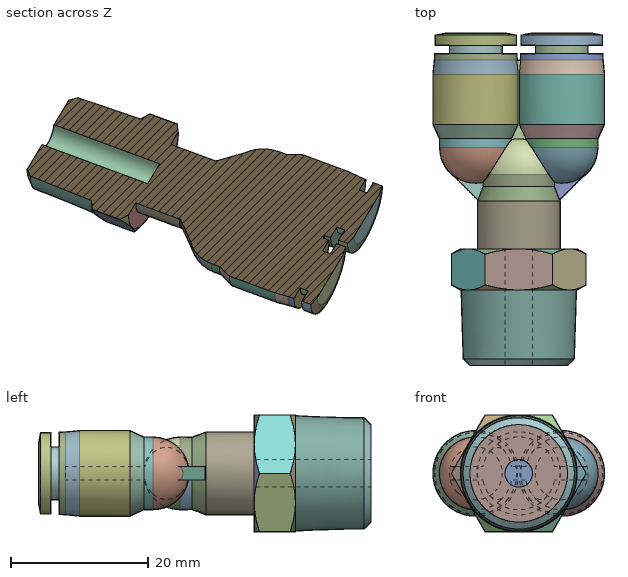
import cadquery as cq
import math


thread_length = 11.0
thread_chamfer = 1.0
thread_tip_radius = 8.1
thread_taper = 1 / 32
thread_base_radius = thread_tip_radius + thread_taper * (thread_length - thread_chamfer)
bore_diameter = 4.0

hex_flats = 17.0
hex_height = 6.0
hex_top = thread_length + hex_height
hex_corner_radius = hex_flats / math.sqrt(3)
hex_chamfer_angle = 30.0
hex_chamfer_height = (hex_corner_radius - hex_flats / 2) * math.tan(math.radians(hex_chamfer_angle))
bore_depth = hex_top

stem_radius = 6.05
stem_top = 24.0
waist_radius = 5.3
waist_diagonal = waist_radius * math.sqrt(0.5)
waist_cone_height = 2.05
stem_waist_start = stem_top + waist_cone_height
stem_dome_centre = 27.8

branch_radius = 6.25
branch_offset = branch_radius
branch_dome_centre = 31.75
branch_waist_end = 33.05
branch_cone_end = branch_waist_end + waist_cone_height
branch_taper_start = 42.4
branch_body_end = 44.45
branch_body_end_radius = 6.05
cap_end = 45.4
cap_radius = 6.0

sleeve_neck_radius = 3.85
flange_start = 46.6
flange_radius = 5.95
flange_rim_end = 48.1
sleeve_end = 48.4
sleeve_face_radius = 4.4

web_thickness = 2.0


def revolve_about_y(profile):
    """Turn a closed half profile in the XY plane about the Y axis."""
    return profile.close().revolve(360, (0, 0, 0), (0, 1, 0))


def make_thread():
    thread = (
        cq.Workplane("XY")
        .lineTo(thread_tip_radius - thread_chamfer, 0)
        .lineTo(thread_tip_radius, thread_chamfer)
        .lineTo(thread_base_radius, thread_length)
        .lineTo(0, thread_length)
    )
    return revolve_about_y(thread)


def make_hexagon():
    """Hexagon with flats facing +-Z, its corners trimmed by a cone at each end."""
    prism = (
        cq.Workplane("XZ", origin=(0, thread_length, 0))
        .polygon(6, 2 * hex_corner_radius)
        .extrude(-hex_height)
    )
    trim = (
        cq.Workplane("XY")
        .moveTo(0, thread_length)
        .lineTo(hex_flats / 2, thread_length)
        .lineTo(hex_corner_radius, thread_length + hex_chamfer_height)
        .lineTo(hex_corner_radius, hex_top - hex_chamfer_height)
        .lineTo(hex_flats / 2, hex_top)
        .lineTo(0, hex_top)
    )
    return prism.intersect(revolve_about_y(trim))


def make_stem():
    """Cylinder narrowing to a waist and closed by a hemisphere."""
    stem = (
        cq.Workplane("XY")
        .moveTo(0, thread_length)
        .lineTo(stem_radius, thread_length)
        .lineTo(stem_radius, stem_top)
        .lineTo(waist_radius, stem_waist_start)
        .lineTo(waist_radius, stem_dome_centre)
        .threePointArc(
            (waist_diagonal, stem_dome_centre + waist_diagonal),
            (0, stem_dome_centre + waist_radius),
        )
    )
    return revolve_about_y(stem)


def make_branch(side):
    """Branch with a domed root, an end cap and a flanged release sleeve."""
    branch = (
        cq.Workplane("XY")
        .moveTo(0, branch_dome_centre - waist_radius)
        .threePointArc(
            (waist_diagonal, branch_dome_centre - waist_diagonal),
            (waist_radius, branch_dome_centre),
        )
        .lineTo(waist_radius, branch_waist_end)
        .lineTo(branch_radius, branch_cone_end)
        .lineTo(branch_radius, branch_taper_start)
        .lineTo(branch_body_end_radius, branch_body_end)
        .lineTo(cap_radius, cap_end)
        .lineTo(sleeve_neck_radius, cap_end)
        .lineTo(sleeve_neck_radius, flange_start)
        .lineTo(flange_radius, flange_start)
        .lineTo(flange_radius, flange_rim_end)
        .lineTo(sleeve_face_radius, sleeve_end)
        .lineTo(0, sleeve_end)
    )
    return revolve_about_y(branch).translate((side * branch_offset, 0, 0))


def make_web():
    """Plate whose 45 degree flanks are tangent to the branch domes at the plate faces."""
    dome_section_radius = math.sqrt(waist_radius**2 - (web_thickness / 2) ** 2)
    tangent_step = dome_section_radius * math.sqrt(0.5)
    tangent_x = branch_offset + tangent_step
    tangent_y = branch_dome_centre - tangent_step
    flank_foot_y = tangent_y - (tangent_x - stem_radius)
    half_web = (
        cq.Workplane("XY", origin=(0, 0, -web_thickness / 2))
        .moveTo(0, flank_foot_y)
        .lineTo(stem_radius, flank_foot_y)
        .lineTo(tangent_x, tangent_y)
        .lineTo(branch_offset, branch_dome_centre)
        .lineTo(branch_offset, branch_body_end)
        .lineTo(0, branch_body_end)
        .close()
        .extrude(web_thickness)
    )
    return half_web.union(half_web.mirror("YZ"))


def make_bore():
    return cq.Workplane("XZ").circle(bore_diameter / 2).extrude(-bore_depth)


body = make_thread().union(make_hexagon()).union(make_stem()).union(make_web())
for side in (-1, 1):
    body = body.union(make_branch(side))

result = body.cut(make_bore())